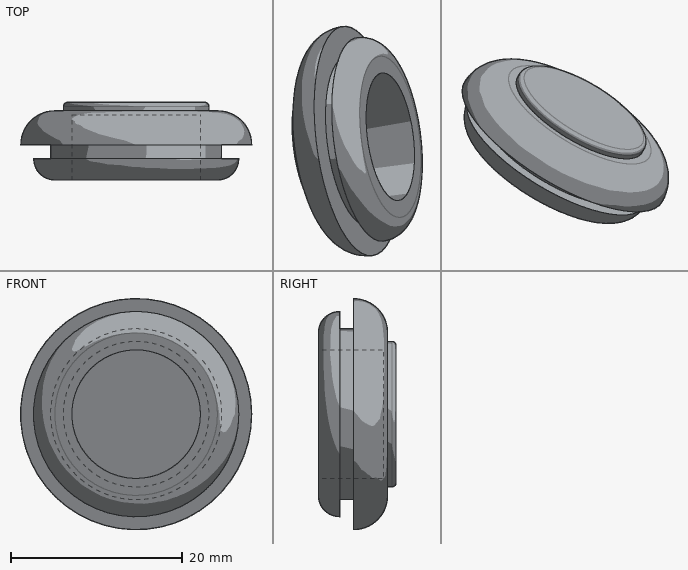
import cadquery as cq

flange_radius = 13.5
lip_radius = 12.0
groove_radius = 10.0
cap_radius = 8.5
bore_radius = 7.5

lip_thickness = 2.5
groove_width = 1.6
flange_thickness = 4.0
cap_height = 1.0
cap_fillet = 0.5
floor_thickness = 1.5

rim_land = 0.014

total_depth = lip_thickness + groove_width + flange_thickness + cap_height
bore_depth = total_depth - floor_thickness


def disc(radius, start, thickness):
    """Solid disc about Y, spanning start to start + thickness."""
    plane = cq.Workplane("XZ", origin=(0, start, 0))
    return plane.circle(radius).extrude(-thickness)


lip_end = lip_thickness
groove_end = lip_end + groove_width
flange_end = groove_end + flange_thickness

lip = disc(lip_radius, 0, lip_thickness).faces("<Y").edges().fillet(lip_thickness - rim_land)
groove = disc(groove_radius, lip_end, groove_width)
flange = disc(flange_radius, groove_end, flange_thickness)
flange = flange.faces(">Y").edges().fillet(flange_thickness - rim_land)
cap = disc(cap_radius, flange_end, cap_height).faces(">Y").edges().fillet(cap_fillet)
bore = disc(bore_radius, 0, bore_depth)

result = lip.union(groove).union(flange).union(cap).cut(bore)